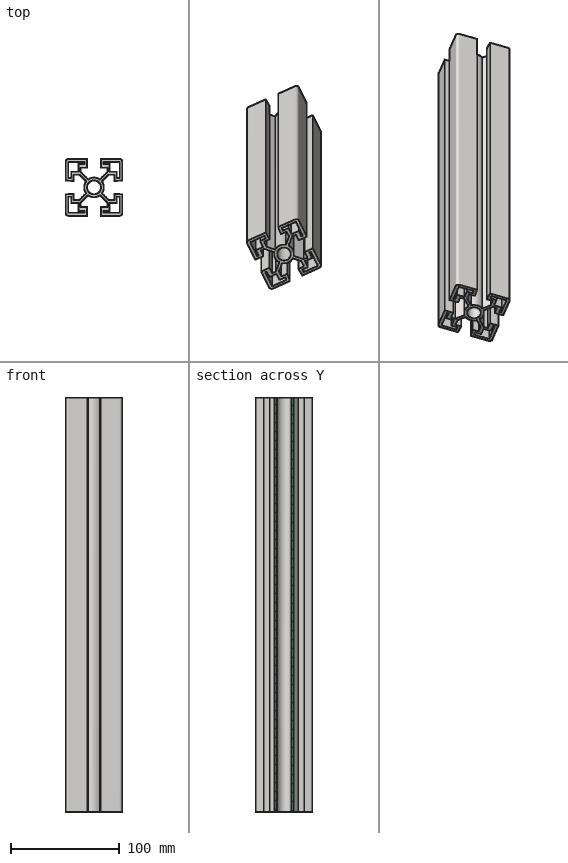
import cadquery as cq
import math

length = 381.0
width_x = 52.2
width_y = 52.5
half_x = width_x / 2
half_y = width_y / 2
corner_radius = 2.5

bore_diameter = 12.5
core_diameter = 18.3
web_thickness = 2.5

slot_width = 12.5
slot_half = slot_width / 2
slot_half_at_lip = 5.7
chamber_x = 12.2
chamber_y = 11.5
lip_inner_x = 18.5
lip_inner_y = 18.0

hollow_inner = 14.5
hollow_outer_x = 23.5
hollow_outer_y = 23.2
hollow_end = 8.8
hollow_lip_x = 21.0
hollow_lip_y = 21.7


def corner_box():
    """Hollow corner box in the +X +Y quadrant."""
    outline = [
        (slot_half, half_y),
        (half_x, half_y),
        (half_x, slot_half),
        (lip_inner_x, slot_half_at_lip),
        (lip_inner_x, chamber_y),
        (chamber_x, chamber_y),
        (chamber_x, lip_inner_y),
        (slot_half, lip_inner_y),
    ]
    hollow = [
        (hollow_end, hollow_outer_y),
        (hollow_outer_x, hollow_outer_y),
        (hollow_outer_x, hollow_end),
        (hollow_lip_x, hollow_end),
        (hollow_lip_x, hollow_inner),
        (hollow_inner, hollow_inner),
        (hollow_inner, hollow_lip_y),
        (hollow_end, hollow_lip_y),
    ]
    box = cq.Workplane("XY").polyline(outline).close().extrude(length)
    box = box.edges("|Z").edges(">(1, 1, 0)").fillet(corner_radius)
    return box.cut(cq.Workplane("XY").polyline(hollow).close().extrude(length))


def diagonal_web(angle):
    """Flat web across the axis, reaching into two opposite box corners."""
    middle_of_wall = (chamber_x + hollow_inner) / 2
    reach = math.hypot(middle_of_wall, middle_of_wall)
    web = cq.Workplane("XY").rect(2 * reach, web_thickness).extrude(length)
    return web.rotate((0, 0, 0), (0, 0, 1), angle)


profile = cq.Workplane("XY").circle(core_diameter / 2).extrude(length)
for web_angle in (45, -45):
    profile = profile.union(diagonal_web(web_angle))

right_back = corner_box()
left_back = right_back.mirror("YZ")
for box in (right_back, left_back):
    profile = profile.union(box).union(box.mirror("XZ"))

bore = cq.Workplane("XY").circle(bore_diameter / 2).extrude(length)
result = profile.cut(bore)